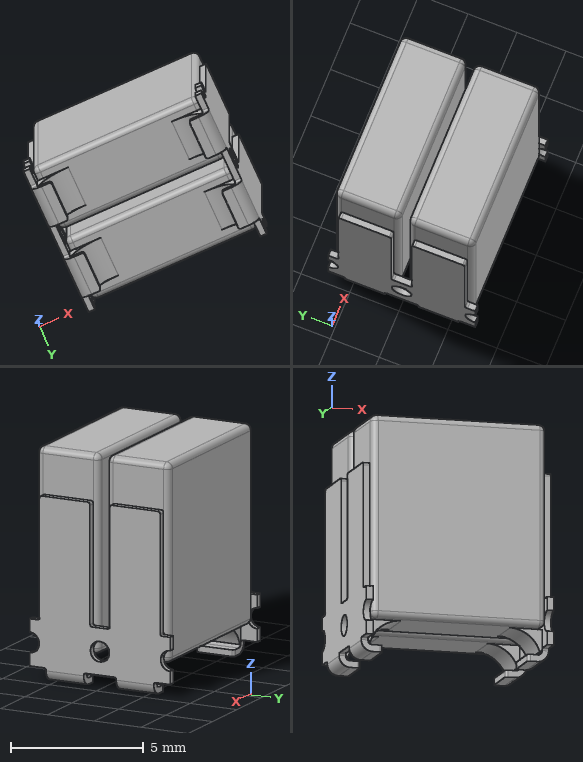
import cadquery as cq
import math

total_x = 7.4
total_y = 6.0
total_z = 9.1

sheet = 0.26
corner_radius = 0.1
tab_width = 2.16
tab_top = 7.25
shoulder_z = 2.38
band_bottom = 0.53
hole_diameter = 0.8
hole_z = 1.46

foot_width = 1.61
foot_length = 0.84
bend_outer_radius = 0.44
bend_inner_radius = bend_outer_radius - sheet
foot_root_radius = 0.08

block_round = 0.25
block_x = total_x - 2 * sheet
block_y = tab_width + 2 * block_round
block_bottom = 1.25
block_centers = (-total_y / 4, total_y / 4)

standoff_radius = block_bottom
standoff_inset = 0.04
standoff_inner_z = 0.37
standoff_outer_z = 0.455

frame_inner_x = block_x / 2
frame_outer_x = total_x / 2


def make_block(center_y):
    """Box with every edge rounded."""
    height = total_z - block_bottom
    box = cq.Workplane("XY").box(block_x, block_y, height)
    return box.edges().fillet(block_round).translate((0, center_y, block_bottom + height / 2))


def edge_at(y, z):
    """Selector for the edge along X that passes through the given Y and Z."""
    reach = 0.01
    return cq.selectors.BoxSelector(
        (0, y - reach, z - reach), (total_x, y + reach, z + reach)
    )


def make_frame_plate():
    """Flat part of the +X frame: band, tabs and the stubs that lead into the feet."""
    def plate_box(width, bottom, top, center_y=0.0):
        box = cq.Workplane("XY").box(sheet, width, top - bottom, centered=(True, True, False))
        return box.translate((frame_inner_x + sheet / 2, center_y, bottom))

    plate = plate_box(total_y, band_bottom, shoulder_z)
    for center_y in block_centers:
        plate = plate.union(plate_box(tab_width, shoulder_z, tab_top, center_y))
        plate = plate.union(plate_box(foot_width, bend_outer_radius, band_bottom, center_y))

    plate = plate.edges("|X and >Z").fillet(corner_radius)
    for center_y in block_centers:
        for side in (-1, 1):
            tab_root_y = center_y + side * tab_width / 2
            foot_root_y = center_y + side * foot_width / 2
            plate = plate.edges(edge_at(tab_root_y, shoulder_z)).fillet(corner_radius)
            plate = plate.edges(edge_at(foot_root_y, band_bottom)).fillet(foot_root_radius)

    holes = (
        cq.Workplane("YZ", origin=(frame_inner_x, 0, hole_z))
        .pushPoints([(-total_y / 2, 0), (0, 0), (total_y / 2, 0)])
        .circle(hole_diameter / 2)
        .extrude(sheet)
    )
    return plate.cut(holes)


def make_foot(center_y):
    """Quarter bend and flat foot of the +X frame, with rounded tip corners."""
    bend_x = frame_outer_x - bend_outer_radius
    tip_x = frame_outer_x - foot_length
    diagonal = math.sqrt(0.5)
    outer_mid = bend_outer_radius * diagonal
    inner_mid = bend_inner_radius * diagonal
    foot = (
        cq.Workplane("XZ", origin=(0, center_y, 0))
        .moveTo(frame_outer_x, bend_outer_radius)
        .threePointArc((bend_x + outer_mid, bend_outer_radius - outer_mid), (bend_x, 0))
        .lineTo(tip_x, 0)
        .lineTo(tip_x, sheet)
        .lineTo(bend_x, sheet)
        .threePointArc(
            (bend_x + inner_mid, bend_outer_radius - inner_mid),
            (frame_inner_x, bend_outer_radius),
        )
        .close()
        .extrude(foot_width / 2, both=True)
    )
    return foot.edges("<X and |Z").fillet(corner_radius)


def make_standoff(center_y):
    """Concave-arc standoff between the block's underside and the +X frame."""
    arc_x = frame_inner_x - standoff_inset - standoff_radius

    def arc_point(z):
        return (arc_x + math.sqrt(standoff_radius**2 - z**2), z)

    middle_z = (standoff_inner_z + block_bottom) / 2
    return (
        cq.Workplane("XZ", origin=(0, center_y, 0))
        .moveTo(frame_inner_x, standoff_outer_z)
        .lineTo(frame_inner_x, block_bottom)
        .lineTo(arc_x, block_bottom)
        .threePointArc(arc_point(middle_z), arc_point(standoff_inner_z))
        .close()
        .extrude(foot_width / 2, both=True)
    )


side_frame = make_frame_plate()
for y in block_centers:
    side_frame = side_frame.union(make_foot(y)).union(make_standoff(y))

result = side_frame.union(side_frame.mirror("YZ"))
for y in block_centers:
    result = result.union(make_block(y))